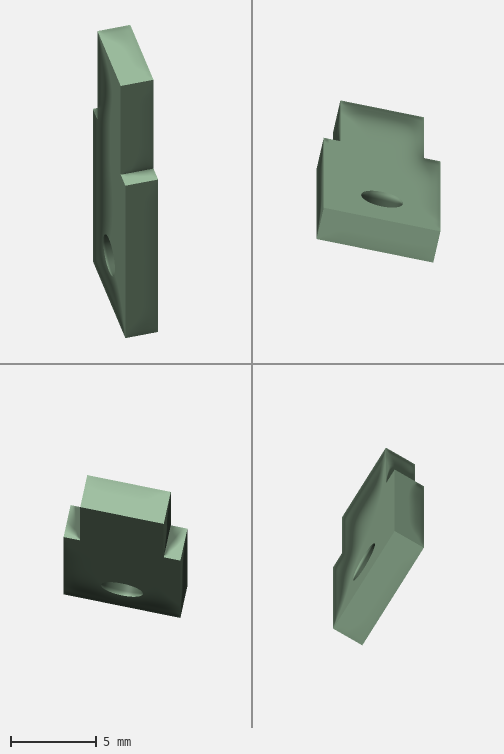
import cadquery as cq

total_height = 19.0
body_width = 7.0
thickness = 2.0
tab_width = 5.0
tab_height = 7.0
hole_diameter = 2.5

body_height = total_height - tab_height
hole_height = body_width / 2


def upright_plate(width, height, base_z):
    """Plate centred on X and Y, standing on the level base_z."""
    plate = cq.Workplane("XY").box(width, thickness, height, centered=(True, True, False))
    return plate.translate((0, 0, base_z))


body = upright_plate(body_width, body_height, 0)
tab = upright_plate(tab_width, tab_height, body_height)

hole = (
    cq.Workplane("XZ", origin=(0, thickness / 2, 0))
    .center(0, hole_height)
    .circle(hole_diameter / 2)
    .extrude(thickness)
)

result = body.union(tab).cut(hole)